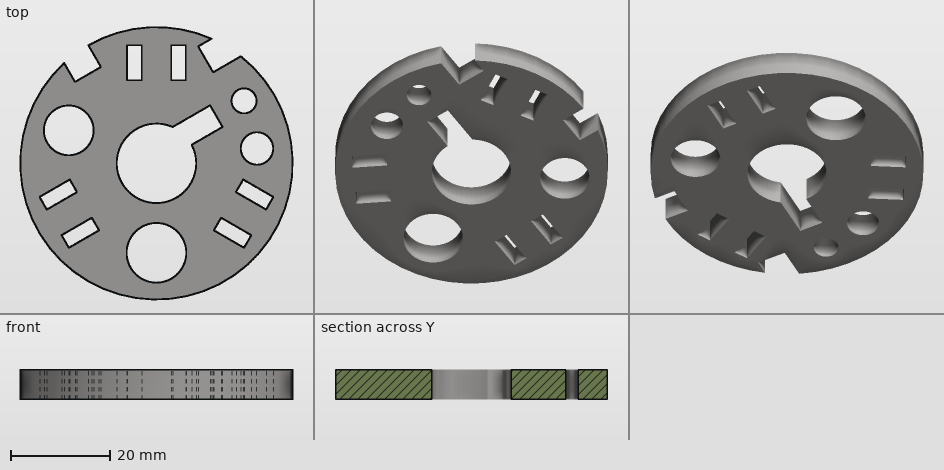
import cadquery as cq
import math

DISC_DIAMETER = 55.0
THICKNESS = 6.0
DISC_RADIUS = DISC_DIAMETER / 2

TILT_ANGLE = 30.0

BORE_DIAMETER = 16.0
KEYWAY_WIDTH = 5.0
KEYWAY_END_U = 15.2
KEYWAY_CENTER_V = 2.2

NOTCH_WIDTH = 6.0
LEFT_NOTCH_FLOOR_V = 22.45
RIGHT_NOTCH_FLOOR_U = 19.1
RIGHT_NOTCH_CENTER_V = 13.2

ROUND_HOLES = [
    (12.0, 18.05, -90.0),
    (10.0, 18.9, 159.4),
    (6.5, 20.5, 8.4),
    (5.0, 21.7, 35.5),
]

SLOT_WIDTH = 2.9
SLOT_LENGTH = 7.0
SLOT_GAP = 6.0
SLOT_SPACING = SLOT_GAP + SLOT_WIDTH
SLOT_RADIAL_DISTANCE = 20.3
SLOT_PAIR_ANGLES = [90.0, 210.0, 330.0]


def through_box(x_min, x_max, y_min, y_max, angle):
    """Full-thickness cutter given by its limits in axes turned by angle about Z."""
    box = cq.Workplane("XY").box(x_max - x_min, y_max - y_min, THICKNESS, centered=False)
    return box.translate((x_min, y_min, 0)).rotate((0, 0, 0), (0, 0, 1), angle)


def keyed_bore():
    """Central bore joined to its keyway."""
    bore = cq.Workplane("XY").circle(BORE_DIAMETER / 2).extrude(THICKNESS)
    keyway = through_box(
        0,
        KEYWAY_END_U,
        KEYWAY_CENTER_V - KEYWAY_WIDTH / 2,
        KEYWAY_CENTER_V + KEYWAY_WIDTH / 2,
        TILT_ANGLE,
    )
    return bore.union(keyway)


def left_notch():
    """Rim notch opening along +v, with one wall on the v axis."""
    return through_box(-NOTCH_WIDTH, 0, LEFT_NOTCH_FLOOR_V, DISC_RADIUS, TILT_ANGLE)


def right_notch():
    """Rim notch opening along +u."""
    return through_box(
        RIGHT_NOTCH_FLOOR_U,
        DISC_RADIUS,
        RIGHT_NOTCH_CENTER_V - NOTCH_WIDTH / 2,
        RIGHT_NOTCH_CENTER_V + NOTCH_WIDTH / 2,
        TILT_ANGLE,
    )


def round_hole(diameter, distance, angle):
    """Through hole placed by polar coordinates."""
    x = distance * math.cos(math.radians(angle))
    y = distance * math.sin(math.radians(angle))
    return cq.Workplane("XY").center(x, y).circle(diameter / 2).extrude(THICKNESS)


def slot(side, angle):
    """One slot of a pair; side is -1 or +1 from the radial line at angle."""
    center_y = side * SLOT_SPACING / 2
    return through_box(
        SLOT_RADIAL_DISTANCE - SLOT_LENGTH / 2,
        SLOT_RADIAL_DISTANCE + SLOT_LENGTH / 2,
        center_y - SLOT_WIDTH / 2,
        center_y + SLOT_WIDTH / 2,
        angle,
    )


result = cq.Workplane("XY").circle(DISC_RADIUS).extrude(THICKNESS)
result = result.cut(keyed_bore()).cut(left_notch()).cut(right_notch())

for hole_diameter, hole_distance, hole_angle in ROUND_HOLES:
    result = result.cut(round_hole(hole_diameter, hole_distance, hole_angle))

for pair_angle in SLOT_PAIR_ANGLES:
    for slot_side in (-1, 1):
        result = result.cut(slot(slot_side, pair_angle))